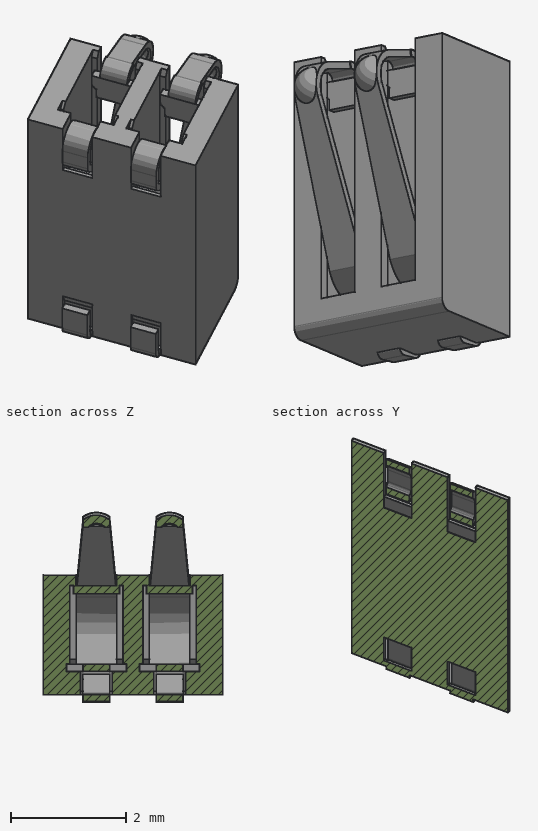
import cadquery as cq
import math


body_width = 3.12
body_depth = 2.085
body_height = 5.0
body_edge_radius = 0.205
terminal_pitch = 1.27

sheet = 0.125
bend_inner_radius = 0.075
strip_width = 0.47
root_width = 0.71
plate_width = 1.04
plate_front = 0.405
plate_mid = plate_front + sheet / 2
plate_back = plate_front + sheet
plate_bottom = 0.125
plate_top = 3.87

front_slot_width = 0.55
front_slot_bottom = 3.97
hook_relief_start = 0.065
hook_relief_bottom = 3.715
pocket_width = 0.92
pocket_floor = 0.61
pocket_back = 1.9
rear_lead_in = 0.075
plate_lead_in = 0.1
lead_in_height = 0.11
floor_lead_in = 0.08
foot_recess_depth = 0.09
foot_recess_wall_top = 0.61
foot_recess_top = 0.805
foot_lip_depth = 0.02

hook_front = -0.115
hook_radius = (plate_mid - hook_front - sheet / 2) / 2
hook_centre_z = 4.58
hook_straight = 0.275
hook_tail_radius = bend_inner_radius + sheet / 2
hook_tail_turn = 48
hook_tail_length = 0.435

foot_front = -0.125
foot_top = 0.635
foot_front_radius = bend_inner_radius + sheet / 2
foot_back_radius = 0.07
foot_tilt = 5
foot_back_centre_z = 0.0435

arm_angle = 66.3
tip_angle = 166
loop_radius = 0.675
loop_centre_z = 1.47
arm_length = 3.045
tip_inner_radius = 0.38
tip_radius = tip_inner_radius + sheet / 2
tip_straight = 0.655
roll_inner_radius = 0.125
roll_radius = roll_inner_radius + sheet / 2
roll_width = 0.505

wing_width = 0.805
wing_top = 4.58
wing_bottom = 4.345
wing_tail_width = 0.63
wing_tail_bottom = 4.07

dimple_radius = 0.38
dimple_offset = 0.21
dimple_angle = 5


def block(width, y_start, y_end, z_start, z_end):
    """Box centred on X = 0 between the given Y and Z limits."""
    size = (width, y_end - y_start, z_end - z_start)
    return cq.Workplane("XY").box(*size, centered=(True, False, False)).translate((0, y_start, z_start))


def side_prism(width, points):
    """Prism centred on X = 0 with a straight-sided (Y, Z) outline."""
    return cq.Workplane("YZ").polyline(points).close().extrude(width / 2, both=True)


def polar(centre, radius, degrees):
    angle = math.radians(degrees)
    return (centre[0] + radius * math.cos(angle), centre[1] + radius * math.sin(angle))


def bent_strip(width, start, heading, moves):
    """Strip of constant thickness bent in the YZ plane; every bend turns left.

    Each move is (length,) for a straight or (radius, degrees) for a bend at mid-thickness.
    Returns the solid with the position and heading of its end.
    """
    half = sheet / 2
    first_left = polar(start, half, heading + 90)
    first_right = polar(start, half, heading - 90)
    point = start
    legs = []
    for move in moves:
        if len(move) == 1:
            point = polar(point, move[0], heading)
            bend = None
        else:
            radius, turn = move
            centre = polar(point, radius, heading + 90)
            bend = (centre, radius, heading - 90 + turn / 2)
            heading += turn
            point = polar(centre, radius, heading - 90)
        legs.append((bend, polar(point, half, heading + 90), polar(point, half, heading - 90)))

    left_ends = [first_left] + [leg[1] for leg in legs]

    outline = cq.Workplane("YZ").moveTo(*first_right)
    for bend, _, right_end in legs:
        if bend:
            centre, radius, middle = bend
            outline = outline.threePointArc(polar(centre, radius + half, middle), right_end)
        else:
            outline = outline.lineTo(*right_end)
    outline = outline.lineTo(*left_ends[-1])
    for index in range(len(legs) - 1, -1, -1):
        bend = legs[index][0]
        if bend:
            centre, radius, middle = bend
            outline = outline.threePointArc(polar(centre, radius - half, middle), left_ends[index])
        else:
            outline = outline.lineTo(*left_ends[index])
    return outline.close().extrude(width / 2, both=True), point, heading


def terminal_openings():
    """Everything removed from the body around one terminal."""
    front_slot = block(front_slot_width, 0, plate_back, front_slot_bottom, body_height)
    hook_relief = block(
        front_slot_width, hook_relief_start, plate_back, hook_relief_bottom, front_slot_bottom
    )
    rear_slot = block(root_width, pocket_back, body_depth, pocket_floor, body_height)

    lead_in_bottom = body_height - lead_in_height
    pocket = side_prism(pocket_width, [
        (plate_front, pocket_floor),
        (pocket_back, pocket_floor),
        (pocket_back, lead_in_bottom),
        (pocket_back + rear_lead_in, body_height),
        (plate_front, body_height),
    ])
    plate_groove = side_prism(plate_width, [
        (plate_front, plate_bottom),
        (plate_back, plate_bottom),
        (plate_back, lead_in_bottom),
        (plate_back + plate_lead_in, body_height),
        (plate_front, body_height),
    ])
    floor_chamfer = side_prism(pocket_width, [
        (plate_back, pocket_floor - floor_lead_in),
        (plate_back + floor_lead_in, pocket_floor),
        (plate_back, pocket_floor),
    ])
    foot_recess = side_prism(front_slot_width, [
        (0, plate_bottom),
        (foot_recess_depth, plate_bottom),
        (foot_recess_depth, foot_recess_wall_top),
        (0, foot_recess_top),
    ])
    foot_lip = block(front_slot_width, 0, foot_lip_depth, 0, plate_bottom)
    openings = front_slot
    for opening in (hook_relief, rear_slot, pocket, plate_groove, floor_chamfer, foot_recess, foot_lip):
        openings = openings.union(opening)
    return openings


def front_hook():
    """Upper end of the plate, rolled over the front face and tucked back in."""
    stem = hook_centre_z - plate_top
    hook, _, _ = bent_strip(strip_width, (plate_mid, plate_top), 90, [
        (stem,),
        (hook_radius, 180),
        (hook_straight,),
        (hook_tail_radius, hook_tail_turn),
        (hook_tail_length,),
    ])
    return hook


def foot():
    """Lower end of the plate, bent under the body and up its front face."""
    front_mid = foot_front + sheet / 2
    tilt = math.radians(foot_tilt)
    centre_gap = plate_mid - front_mid - foot_front_radius - foot_back_radius
    radius_drop = foot_front_radius - foot_back_radius
    under_length = (centre_gap + radius_drop * math.sin(tilt)) / math.cos(tilt)
    front_centre_z = foot_back_centre_z + under_length * math.sin(tilt) + radius_drop * math.cos(tilt)
    leg, _, _ = bent_strip(strip_width, (front_mid, foot_top), 270, [
        (foot_top - front_centre_z,),
        (foot_front_radius, 90 - foot_tilt),
        (under_length,),
        (foot_back_radius, 90 + foot_tilt),
        (foot_top - foot_back_centre_z,),
    ])
    return leg


def tapered_arm(start):
    """Flat arm that narrows from the loop to the contact tip, lying along the arm direction."""
    outward = polar((0, 0), 1, arm_angle - 90)
    plane = cq.Plane(origin=(0, *start), xDir=(1, 0, 0), normal=(0, *outward))
    return (
        cq.Workplane(plane)
        .polyline([
            (-root_width / 2, 0),
            (root_width / 2, 0),
            (strip_width / 2, -arm_length),
            (-strip_width / 2, -arm_length),
        ])
        .close()
        .extrude(sheet / 2, both=True)
    )


def retaining_wings(front):
    """T-shaped end of the spring that rests against the pocket's rear wall."""
    taper = (wing_width - wing_tail_width) / 2
    right_side = [
        (wing_width / 2, wing_top),
        (wing_width / 2, wing_bottom),
        (wing_tail_width / 2, wing_bottom - taper),
        (wing_tail_width / 2, wing_tail_bottom),
    ]
    left_side = [(-x, z) for x, z in reversed(right_side)]
    outline = cq.Workplane("XZ", origin=(0, pocket_back, 0)).polyline(right_side + left_side)
    return outline.close().extrude(pocket_back - front)


def spring():
    """Tapered spring from the plate, round the bottom loop and out to the contact tip."""
    loop, arm_start, _ = bent_strip(root_width, (plate_mid, loop_centre_z), 270, [
        (loop_radius, arm_angle + 90),
    ])
    tip_start = polar(arm_start, arm_length, arm_angle)
    arm = tapered_arm(arm_start)
    tip, tip_end, _ = bent_strip(strip_width, tip_start, arm_angle, [
        (tip_radius, tip_angle - arm_angle),
        (tip_straight,),
    ])
    roll, roll_end, _ = bent_strip(roll_width, tip_end, tip_angle, [
        (roll_radius, 270 - tip_angle),
    ])
    wings = retaining_wings(roll_end[0] - sheet / 2)

    tip_centre = polar(tip_start, tip_radius, arm_angle + 90)
    dimple_centre = polar(tip_centre, dimple_offset, dimple_angle)
    dome = cq.Workplane("XY").sphere(dimple_radius).translate((0, *dimple_centre))
    inside_tip = (
        cq.Workplane("YZ").center(*tip_centre).circle(tip_radius + sheet / 2).extrude(root_width, both=True)
    )
    strip_limits = block(strip_width, body_depth, 2 * body_depth, 0, body_height)
    hollow = cq.Workplane("XY").sphere(dimple_radius - sheet).translate((0, *dimple_centre))

    domed_tip = tip.union(dome.cut(inside_tip).intersect(strip_limits)).cut(hollow)
    return loop.union(arm).union(domed_tip).union(roll).union(wings)


def terminal():
    plate = block(plate_width, plate_front, plate_back, plate_bottom, plate_top)
    return plate.union(front_hook()).union(foot()).union(spring())


body = block(body_width, 0, body_depth, 0, body_height)
body = body.edges("|X and >Y and <Z").fillet(body_edge_radius)

terminal_places = [(side * terminal_pitch / 2, 0, 0) for side in (-1, 1)]
openings = terminal_openings()
for place in terminal_places:
    body = body.cut(openings.translate(place))

contact = terminal()
result = body
for place in terminal_places:
    result = result.union(contact.translate(place))